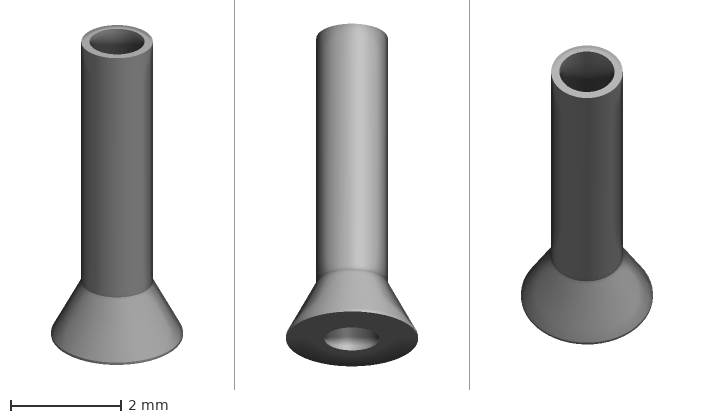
import cadquery as cq

total_height = 6.0
flare_diameter = 2.4
tube_diameter = 1.3
bore_diameter = 1.0
rim_height = 0.05
flare_height = 1.1

tube_radius = tube_diameter / 2
flare_radius = flare_diameter / 2


def make_body():
    """Solid of revolution: rim, conical flare and straight tube."""
    half_profile = (
        cq.Workplane("XZ")
        .moveTo(0, 0)
        .lineTo(flare_radius, 0)
        .lineTo(flare_radius, rim_height)
        .lineTo(tube_radius, flare_height)
        .lineTo(tube_radius, total_height)
        .lineTo(0, total_height)
        .close()
    )
    return half_profile.revolve(360, (0, 0), (0, 1))


def make_bore():
    """Straight through bore along the tube axis."""
    return cq.Workplane("XY").circle(bore_diameter / 2).extrude(total_height)


result = make_body().cut(make_bore())